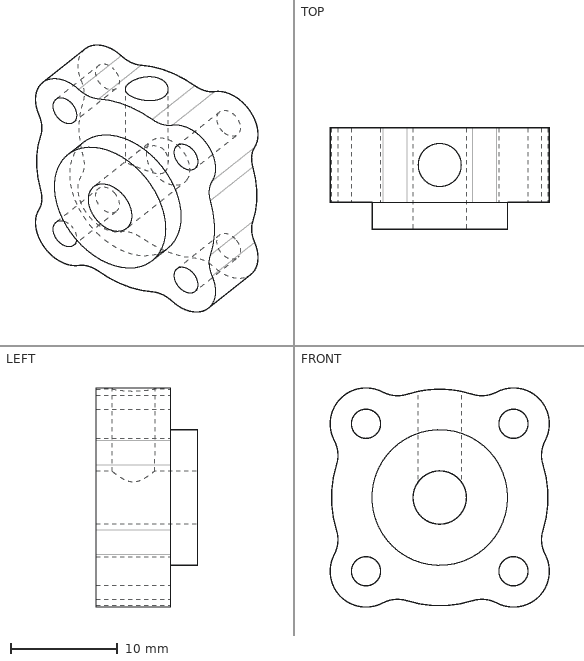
import cadquery as cq
import math

width = 20.57
depth = 9.52
hub_length = 2.53
flange_thickness = depth - hub_length
body_radius = 10.16
lobe_radius = 3.37
blend_radius = 2.96
hub_radius = 6.35
bore_radius = 2.49
bolt_hole_diameter = 2.72
set_screw_diameter = 4.03
bolt_offset = width / 2 - lobe_radius


def polar(radius, angle, center=(0, 0)):
    return (center[0] + radius * math.cos(angle), center[1] + radius * math.sin(angle))


def rotate(point, angle):
    return polar(math.hypot(*point), math.atan2(point[1], point[0]) + angle)


def flange_outline():
    """Central disc with four corner lobes, joined by tangent concave blends."""
    corner_angle = math.pi / 4
    lobe_distance = bolt_offset * math.sqrt(2)
    body_to_blend = body_radius + blend_radius
    lobe_to_blend = lobe_radius + blend_radius

    angle_at_body = math.acos(
        (lobe_distance**2 + body_to_blend**2 - lobe_to_blend**2)
        / (2 * lobe_distance * body_to_blend)
    )
    angle_at_lobe = math.acos(
        (lobe_distance**2 + lobe_to_blend**2 - body_to_blend**2)
        / (2 * lobe_distance * lobe_to_blend)
    )

    body_end = polar(body_radius, -angle_at_body)
    lobe_start = polar(lobe_radius, math.pi + angle_at_lobe, (lobe_distance, 0))
    blend_center = polar(body_to_blend, -angle_at_body)
    toward_body = math.pi - angle_at_body
    toward_lobe = angle_at_lobe
    blend_mid_angle = (toward_body + toward_lobe) / 2
    blend_middle = polar(blend_radius, blend_mid_angle, blend_center)
    lobe_tip = (lobe_distance + lobe_radius, 0)

    def mirrored(point):
        return (point[0], -point[1])

    outline = cq.Workplane("XZ").moveTo(*rotate(body_end, corner_angle))
    for quarter in range(4):
        lobe_angle = corner_angle + quarter * math.pi / 2
        next_lobe_angle = lobe_angle + math.pi / 2
        arcs = [
            (rotate(blend_middle, lobe_angle), rotate(lobe_start, lobe_angle)),
            (rotate(lobe_tip, lobe_angle), rotate(mirrored(lobe_start), lobe_angle)),
            (rotate(mirrored(blend_middle), lobe_angle), rotate(mirrored(body_end), lobe_angle)),
            (polar(body_radius, lobe_angle + corner_angle), rotate(body_end, next_lobe_angle)),
        ]
        for middle, end in arcs:
            outline = outline.threePointArc(middle, end)
    return outline.close()


flange = flange_outline().extrude(flange_thickness)
hub = cq.Workplane("XZ").circle(hub_radius).extrude(depth)
bore = cq.Workplane("XZ").circle(bore_radius).extrude(depth)

bolt_holes = (
    cq.Workplane("XZ")
    .rect(2 * bolt_offset, 2 * bolt_offset, forConstruction=True)
    .vertices()
    .circle(bolt_hole_diameter / 2)
    .extrude(flange_thickness)
)

set_screw_hole = (
    cq.Workplane("XY")
    .center(0, -flange_thickness / 2)
    .circle(set_screw_diameter / 2)
    .extrude(body_radius)
)

result = flange.union(hub).cut(bore).cut(bolt_holes).cut(set_screw_hole)